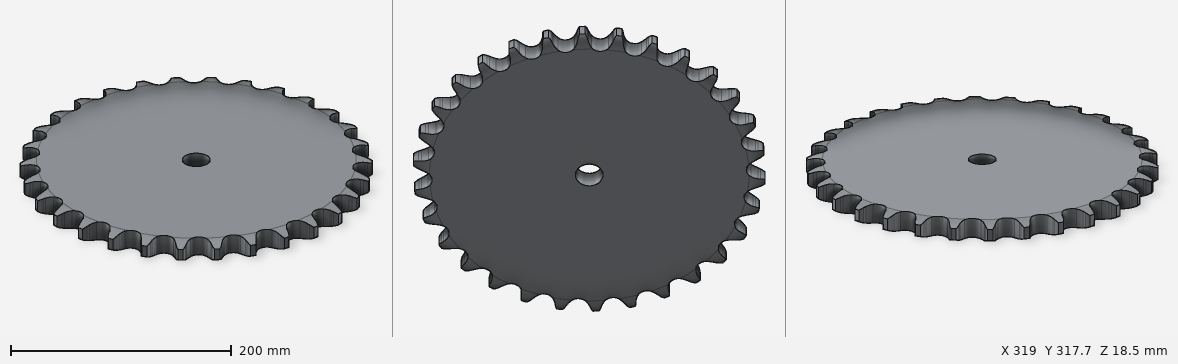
import cadquery as cq
import math


tooth_count = 30
tip_diameter = 319.0
pitch_diameter = 304.0
thickness = 18.5
bore_diameter = 25.0
face_diameter = 289.2
relief_radius = 32.0

roller_to_pitch_ratio = 0.6
tooth_angle = 360.0 / tooth_count
chain_pitch = pitch_diameter * math.sin(math.radians(tooth_angle / 2))
roller_diameter = roller_to_pitch_ratio * chain_pitch

seat_radius = roller_diameter / 2
working_offset = 0.8 * roller_diameter
topping_offset = 1.4 * roller_diameter
working_radius = seat_radius + working_offset
seat_end_angle = 35 + 60 / tooth_count
working_sweep = 18 - 56 / tooth_count
flank_angle = seat_end_angle - working_sweep

tip_radius = tip_diameter / 2
pitch_radius = pitch_diameter / 2
face_radius = face_diameter / 2


def polar(centre, radius, degrees):
    """Point at a given distance and direction from a centre."""
    angle = math.radians(degrees)
    return (centre[0] + radius * math.cos(angle), centre[1] + radius * math.sin(angle))


def half_gap_points():
    """Points from the root of a gap on +Y to the tooth tip at its right."""
    roller = (0, pitch_radius)
    root = polar(roller, seat_radius, -90)
    seat_end = polar(roller, seat_radius, -seat_end_angle)

    working_centre = polar(roller, working_offset, 180 - seat_end_angle)
    working_mid = polar(working_centre, working_radius, -(seat_end_angle + flank_angle) / 2)
    working_end = polar(working_centre, working_radius, -flank_angle)

    topping_centre = polar(roller, topping_offset, -tooth_angle / 2)
    normal = polar((0, 0), 1, -flank_angle)
    topping_radius = sum((c - w) * n for c, w, n in zip(topping_centre, working_end, normal))
    topping_start_angle = 180 - flank_angle
    flank_end = polar(topping_centre, topping_radius, topping_start_angle)

    centre_distance = math.hypot(*topping_centre)
    cos_at_centre = (centre_distance**2 + topping_radius**2 - tip_radius**2) / (
        2 * centre_distance * topping_radius
    )
    inward_angle = math.degrees(math.atan2(-topping_centre[1], -topping_centre[0])) + 360
    topping_end_angle = inward_angle - math.degrees(math.acos(cos_at_centre))
    topping_mid_angle = (topping_start_angle + topping_end_angle) / 2
    topping_mid = polar(topping_centre, topping_radius, topping_mid_angle)
    tip_corner = polar(topping_centre, topping_radius, topping_end_angle)
    return [
        root, seat_end, working_mid, working_end,
        flank_end, topping_mid, tip_corner,
    ]


def turn(point, degrees):
    """Rotate a point about the sprocket axis."""
    direction = math.degrees(math.atan2(point[1], point[0]))
    return polar((0, 0), math.hypot(*point), direction + degrees)


def tooth_outline():
    """Closed outline of all the teeth, drawn gap by gap in clockwise order."""
    right_side = half_gap_points()
    left_side = [(-x, y) for x, y in right_side]
    gap = left_side[::-1] + right_side[1:]
    outline = cq.Workplane("XY").workplane(offset=-thickness / 2).moveTo(*gap[0])
    for index in range(tooth_count):
        rotation = -index * tooth_angle
        (
            _, left_topping_mid, left_flank_end, left_working_end, left_working_mid, left_seat_end,
            root,
            seat_end, working_mid, working_end, flank_end, topping_mid, tip_corner,
        ) = [turn(point, rotation) for point in gap]
        tip_middle = polar((0, 0), tip_radius, 90 + rotation - tooth_angle / 2)
        next_tip_corner = turn(gap[0], rotation - tooth_angle)
        outline = (
            outline.threePointArc(left_topping_mid, left_flank_end)
            .lineTo(*left_working_end)
            .threePointArc(left_working_mid, left_seat_end)
            .threePointArc(root, seat_end)
            .threePointArc(working_mid, working_end)
            .lineTo(*flank_end)
            .threePointArc(topping_mid, tip_corner)
            .threePointArc(tip_middle, next_tip_corner)
        )
    return outline.close()


def relieved_disc():
    """Disc whose rim is rounded on both faces, to narrow the teeth toward their tips."""
    half = thickness / 2

    def relief_height(radius):
        return half - relief_radius + math.sqrt(relief_radius**2 - (radius - face_radius) ** 2)

    mid_radius = (face_radius + tip_radius) / 2
    mid_height = relief_height(mid_radius)
    tip_height = relief_height(tip_radius)
    return (
        cq.Workplane("XZ")
        .moveTo(0, -half)
        .lineTo(face_radius, -half)
        .threePointArc((mid_radius, -mid_height), (tip_radius, -tip_height))
        .lineTo(tip_radius, tip_height)
        .threePointArc((mid_radius, mid_height), (face_radius, half))
        .lineTo(0, half)
        .close()
        .revolve(360, (0, 0, 0), (0, 1, 0))
    )


toothed_plate = tooth_outline().extrude(thickness)
bore = cq.Workplane("XY").circle(bore_diameter / 2).extrude(thickness, both=True)
result = toothed_plate.intersect(relieved_disc()).cut(bore)